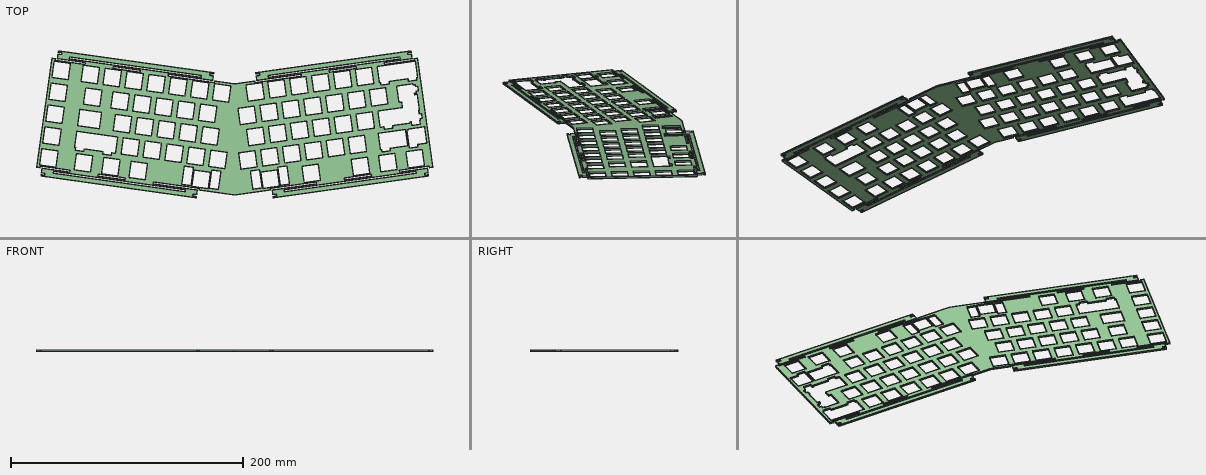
import cadquery as cq
import math


thickness = 1.5
half_angle = 8.0

key_unit = 19.05
switch_size = 14.0
top_row_v = 25.27
row_count = 5
left_start_u = -129.25
right_start_u = 21.27
macro_column_gap = 25.34

stab_offset = 11.94
stab_width = 7.2
space_stab_width = 7.8
stab_long_side = 9.2
stab_short_side = 6.45
stab_notch_width = 3.7
stab_notch_reach = 8.4

switch_field_half_height = (row_count - 1) * key_unit / 2 + switch_size / 2
field_mid_v = top_row_v - (row_count - 1) * key_unit / 2
border = 2.4
plate_outer_u = 164.01
plate_half_height = switch_field_half_height + border

slit_width = 1.5
slit_wall = 1.0
beam_width = 1.4
bar_width = 4.02
rail_inner_u = 24.0
rail_outer_u = 159.35
outer_slit_end_inset = 10.4
bridge_length = 24.5
bridge_mids_u = (74.8, 122.8)
end_notch_depth = 3.2
end_notch_width = 1.5
end_lip = 1.3

inner_slit_v = switch_field_half_height + slit_wall
beam_v = inner_slit_v + slit_width
outer_slit_v = beam_v + beam_width
bar_v = outer_slit_v + slit_width
rail_edge_v = bar_v + bar_width


def block(u_min, u_max, v_min, v_max):
    """A plate-thick block between the given limits."""
    size_u = u_max - u_min
    size_v = v_max - v_min
    return cq.Solid.makeBox(size_u, size_v, thickness, cq.Vector(u_min, v_min, 0))


def row_v(row):
    return top_row_v - row * key_unit


def switch(u, v):
    half = switch_size / 2
    return block(u - half, u + half, v - half, v + half)


def switch_row(start_u, row, offsets):
    """Switch openings in one row, at offsets in key units from start_u."""
    return [switch(start_u + offset * key_unit, row_v(row)) for offset in offsets]


def stabilizer(u, v, width=stab_width, wire_above=False):
    """The pair of stabilizer openings of a wide key centred at (u, v)."""
    below, above = stab_long_side, stab_short_side
    if wire_above:
        below, above = above, below
    half = width / 2
    return [
        block(mid - half, mid + half, v - below, v + above)
        for mid in (u - stab_offset, u + stab_offset)
    ]


def upright_stabilizer(u, v):
    """Stabilizer of a tall key: one opening above and one below, each with a side notch."""
    openings = []
    for mid in (v - stab_offset, v + stab_offset):
        half = stab_width / 2
        notch_half = stab_notch_width / 2
        openings.append(block(u - stab_long_side, u + stab_short_side, mid - half, mid + half))
        openings.append(block(u, u + stab_notch_reach, mid - notch_half, mid + notch_half))
    return openings


def left_openings():
    start = left_start_u
    openings = []
    for row in range(row_count):
        openings.append(switch(start - macro_column_gap, row_v(row)))
    openings += switch_row(start, 0, [0, 1, 2, 3, 4, 5, 6])
    openings += switch_row(start, 1, [0.25, 1.5, 2.5, 3.5, 4.5, 5.5])
    openings += switch_row(start, 2, [0.125, 0.375, 1.75, 2.75, 3.75, 4.75, 5.75])
    shift = 0.625
    openings += switch_row(start, 3, [0.125, shift, 1.25, 2.25, 3.25, 4.25, 5.25, 6.25])
    openings += stabilizer(start + shift * key_unit, row_v(3))
    space = 5.625
    openings += switch_row(start, 4, [0.25, 1.5, 2.75, space])
    openings += stabilizer(start + space * key_unit, row_v(4), space_stab_width, wire_above=True)
    return openings


def right_openings():
    start = right_start_u
    openings = []
    backspace = 6.5
    openings += switch_row(start, 0, [0, 1, 2, 3, 4, 5, 6, backspace, 7])
    openings += stabilizer(start + backspace * key_unit, row_v(0))
    openings += switch_row(start, 1, [-0.5, 0.5, 1.5, 2.5, 3.5, 4.5, 5.5, 6.75])
    flat_enter = 6.375
    openings += switch_row(start, 2, [-0.25, 0.75, 1.75, 2.75, 3.75, 4.75, 5.75, flat_enter])
    openings += stabilizer(start + flat_enter * key_unit, row_v(2))
    tall_enter_u = start + 6.875 * key_unit
    tall_enter_v = row_v(1.5)
    openings.append(switch(tall_enter_u, tall_enter_v))
    openings += upright_stabilizer(tall_enter_u, tall_enter_v)
    shift = 6.125
    openings += switch_row(start, 3, [-0.75, 0.25, 1.25, 2.25, 3.25, 4.25, 5.625, shift, 7])
    openings += stabilizer(start + shift * key_unit, row_v(3))
    space = 0.125
    openings += switch_row(start, 4, [space, 2, 4.25, 5.5, 6.75])
    openings += stabilizer(start + space * key_unit, row_v(4), space_stab_width, wire_above=True)
    return openings


def half_plate():
    """Right half of the bare plate; its inner side lies on the plane X = 0 once turned."""
    tangent = math.tan(math.radians(half_angle))
    bottom = field_mid_v - plate_half_height
    top = field_mid_v + plate_half_height
    outline = [
        (bottom * tangent, bottom),
        (plate_outer_u, bottom),
        (plate_outer_u, top),
        (top * tangent, top),
    ]
    return cq.Workplane("XY").polyline(outline).close().extrude(thickness).val()


def upper_rail():
    """Solids added and removed to form the upper rail of the right half."""
    mid = field_mid_v
    added = [block(rail_inner_u, rail_outer_u, mid + inner_slit_v, mid + rail_edge_v)]

    first_bridge, second_bridge = bridge_mids_u
    half_bridge = bridge_length / 2
    slit_spans = [
        (rail_inner_u - slit_width, first_bridge - half_bridge),
        (first_bridge + half_bridge, second_bridge - half_bridge),
        (second_bridge + half_bridge, rail_outer_u + slit_width),
    ]
    removed = [block(u0, u1, mid + inner_slit_v, mid + beam_v) for u0, u1 in slit_spans]
    removed.append(
        block(
            rail_inner_u + outer_slit_end_inset,
            rail_outer_u - outer_slit_end_inset,
            mid + outer_slit_v,
            mid + bar_v,
        )
    )

    notch_top = mid + rail_edge_v - end_lip
    notch_bottom = notch_top - end_notch_width
    for u0, u1 in (
        (rail_inner_u, rail_inner_u + end_notch_depth),
        (rail_outer_u - end_notch_depth, rail_outer_u),
    ):
        removed.append(block(u0, u1, notch_bottom, notch_top))
    return added, removed


def right_blank():
    """Right half with its two rails, before the key openings are cut."""
    added, removed = upper_rail()
    field_mid = cq.Vector(0, field_mid_v, 0)
    added += [solid.mirror("XZ", field_mid) for solid in added]
    removed += [solid.mirror("XZ", field_mid) for solid in removed]
    return half_plate().fuse(*added).cut(*removed)


def turned(shape, angle):
    return shape.rotate(cq.Vector(0, 0, 0), cq.Vector(0, 0, 1), angle)


blank = right_blank()
right_half = turned(blank.cut(*right_openings()), half_angle)
left_half = turned(blank.mirror("YZ").cut(*left_openings()), -half_angle)
joined = right_half.fuse(left_half).clean()

result = cq.Workplane(obj=max(joined.Solids(), key=lambda solid: solid.Volume()))